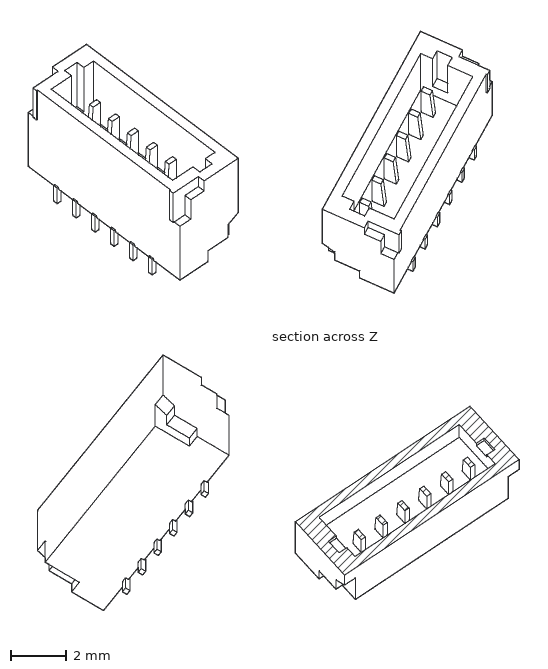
import cadquery as cq

length = 8.0
depth = 2.9
height = 4.25

cavity_length = 6.4
cavity_front_wall = 0.39
cavity_back_wall = 0.41
cavity_floor = 1.3

key_reach = 0.36
key_front = 1.4
key_back = 2.01
key_floor = 2.0

notch_inset = 0.3
notch_upper_back = 1.2
notch_upper_drop = 0.51
notch_lower_back = 0.54
notch_lower_drop = 1.5

rib_width = 0.19
rib_proud = 0.05

pocket_inset = 0.5
pocket_step_depth = 1.5
pocket_step_height = 0.55
pocket_depth = 0.5
pocket_slope_low = 1.2
pocket_slope_high = 1.48

contact_count = 6
contact_pitch = 1.0
contact_width = 0.2
blade_back = 2.08
blade_tip_thickness = 0.36
blade_root_thickness = 0.49
blade_top = 3.0
tail_proud = 0.06
tail_thickness = 0.2
tail_top = 0.1
tail_bottom = -0.7


def block(x_range, y_range, z_range):
    """Box spanning the given (low, high) ranges."""
    (x0, x1), (y0, y1), (z0, z1) = x_range, y_range, z_range
    return cq.Workplane("XY").box(x1 - x0, y1 - y0, z1 - z0, centered=False).translate((x0, y0, z0))


def side_prism(outline, x_start, width):
    """Outline of (Y, Z) points extruded along +X from x_start."""
    return cq.Workplane("YZ", origin=(x_start, 0, 0)).polyline(outline).close().extrude(width)


def both_ends(solid):
    """The solid together with its mirror image at the other end."""
    return solid.union(solid.mirror("YZ"))


def make_cavity():
    half = cavity_length / 2
    key_half = half + key_reach
    main = block((-half, half), (cavity_front_wall, depth - cavity_back_wall), (cavity_floor, height))
    keys = block((-key_half, key_half), (key_front, key_back), (key_floor, height))
    return main.union(keys)


def make_notches():
    outline = [
        (0, height),
        (notch_upper_back, height),
        (notch_upper_back, height - notch_upper_drop),
        (notch_lower_back, height - notch_upper_drop),
        (notch_lower_back, height - notch_lower_drop),
        (0, height - notch_lower_drop),
    ]
    return both_ends(side_prism(outline, -length / 2, notch_inset))


def make_ribs():
    x_start = -length / 2 + notch_inset
    x_range = (x_start, x_start + rib_width)
    rib = block(x_range, (-rib_proud, 0), (height - notch_lower_drop, height))
    return both_ends(rib)


def make_pockets():
    outline = [
        (depth, 0),
        (depth - pocket_step_depth, 0),
        (depth - pocket_step_depth, pocket_step_height),
        (depth - pocket_depth, pocket_step_height),
        (depth - pocket_depth, pocket_slope_low),
        (depth, pocket_slope_high),
    ]
    return both_ends(side_prism(outline, -length / 2, pocket_inset))


def make_contact(x_center):
    x_start = x_center - contact_width / 2
    blade_outline = [
        (blade_back, cavity_floor),
        (blade_back, blade_top),
        (blade_back - blade_tip_thickness, blade_top),
        (blade_back - blade_root_thickness, cavity_floor),
    ]
    blade = side_prism(blade_outline, x_start, contact_width)
    tail = block(
        (x_start, x_start + contact_width),
        (-tail_proud, tail_thickness - tail_proud),
        (tail_bottom, tail_top),
    )
    return blade.union(tail)


result = block((-length / 2, length / 2), (0, depth), (0, height))
result = result.cut(make_cavity()).cut(make_notches()).cut(make_pockets()).union(make_ribs())
for index in range(contact_count):
    x_center = (index - (contact_count - 1) / 2) * contact_pitch
    result = result.union(make_contact(x_center))